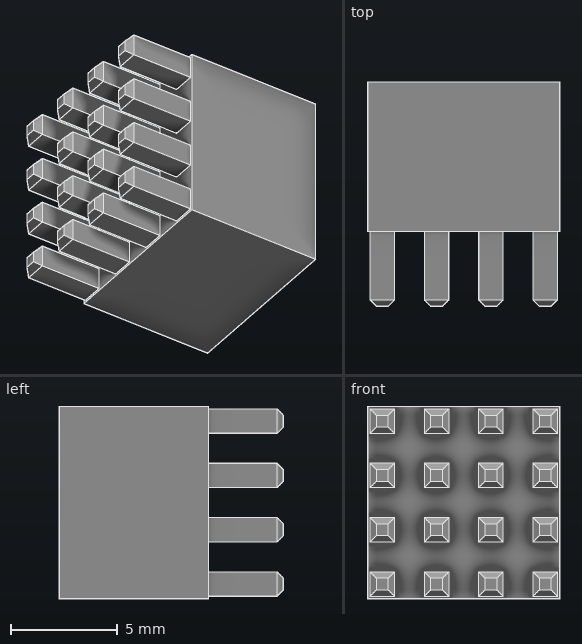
import cadquery as cq

body_width = 9.0
body_depth = 7.0
body_height = 9.0

pins_per_side = 4
pin_pitch = 2.54
pin_width = 1.15
pin_length = 3.5
tip_width = 0.55
tip_length = 0.3


def make_body():
    """Plain block whose pin face lies in the plane Y = 0."""
    return cq.Workplane("XY").box(
        body_width, body_depth, body_height, centered=(True, False, True)
    )


def make_pin():
    """Square pin along -Y from the origin, tapering to a smaller flat tip."""
    shank_length = pin_length - tip_length
    shank = cq.Workplane("XZ").rect(pin_width, pin_width).extrude(shank_length)
    tip = (
        cq.Workplane("XZ", origin=(0, -shank_length, 0))
        .rect(pin_width, pin_width)
        .workplane(offset=tip_length)
        .rect(tip_width, tip_width)
        .loft(ruled=True)
    )
    return shank.union(tip)


def add_pins(body):
    """Join the grid of pins, centred on the pin face."""
    pin = make_pin()
    first_offset = -pin_pitch * (pins_per_side - 1) / 2
    for column in range(pins_per_side):
        for row in range(pins_per_side):
            x = first_offset + column * pin_pitch
            z = first_offset + row * pin_pitch
            body = body.union(pin.translate((x, 0, z)))
    return body


result = add_pins(make_body())